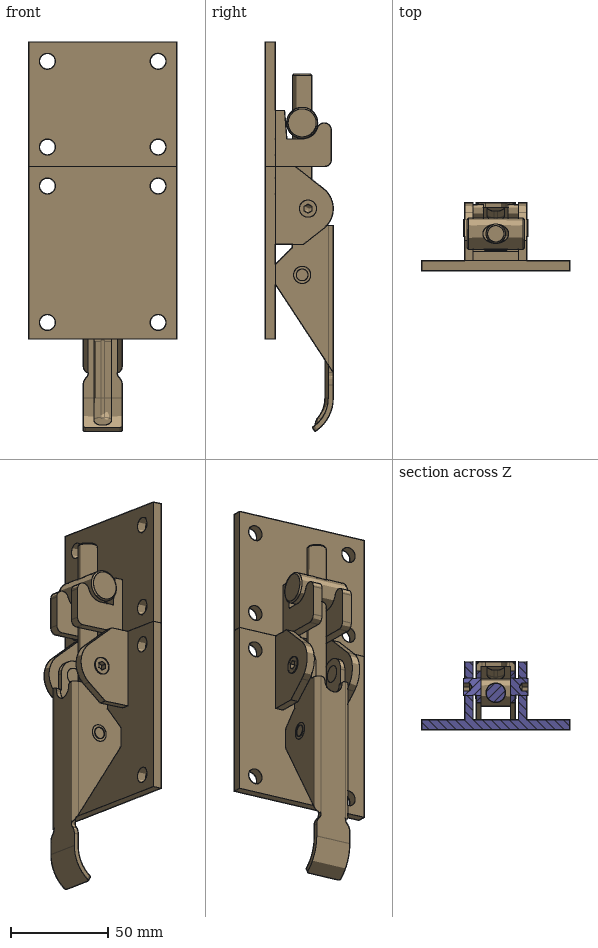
import cadquery as cq
import math


OVERALL_HEIGHT = 200.0

PLATE_WIDTH = 76.0
PLATE_THICKNESS = 5.2
KEEPER_PLATE_HEIGHT = 64.0
BASE_PLATE_HEIGHT = 88.5
HOLE_DIAMETER = 8.0
HOLE_SPACING_X = 56.8
HOLE_INSET = 10.0
BASE_LOWER_HOLE_Z = -80.0

ROD_Y = 19.0
ROD_RADIUS = 5.0
ROD_TOP_Z = 47.5
ROD_CHAMFER = 0.8
BAR_Z = 22.5
BAR_RADIUS = 8.0
BAR_LENGTH = 29.5
BAR_CHAMFER = 0.8
BAR_SINK_RADIUS = 6.5
TRUNNION_Z = -55.5
TRUNNION_RADIUS = 4.5
TRUNNION_BARREL_RADIUS = 7.0
TRUNNION_TIP_RADIUS = 3.0
TRUNNION_TIP_LENGTH = 0.5

HOOK_WIDTH = 23.2
HOOK_OUTER_Y = 34.0
HOOK_CORNER_RADIUS = 3.5
SADDLE_CLEARANCE = 0.2
SADDLE_RADIUS = BAR_RADIUS + SADDLE_CLEARANCE
BACK_WALL_TOP_Z = 28.8
BACK_WALL_TOP_Y = 10.0
BACK_WALL_FOOT_Y = 11.2
ROD_SLOT_WIDTH = 12.5
ROD_SLOT_FLOOR_Y = 10.2
ROD_SLOT_CORNER_RADIUS = 2.0

LUG_SPAN = 32.0
LUG_GAP = HOOK_WIDTH
LUG_THICKNESS = (LUG_SPAN - LUG_GAP) / 2
LUG_RADIUS = 13.0
LUG_BOTTOM_Z = -40.0
LUG_SLOPE = 38.0
PIVOT_Y = 22.0
PIVOT_Z = -21.5
SCREW_RADIUS = 4.5
SCREW_PROTRUSION = 0.5
SOCKET_FLATS = 4.0
SOCKET_DEPTH = 3.0
SOCKET_POINT_ANGLE = 118.0

LEVER_WIDTH = 20.2
SHEET = 2.5
LEVER_OUTER_Y = 35.0
LEVER_INNER_Y = LEVER_OUTER_Y - SHEET
LEVER_TOP_Z = -30.2
BEND_RADIUS = SHEET
PIVOT_EAR_RADIUS = 8.2
FLANGE_SHOULDER_Z = -50.2
FLANGE_HEEL_Z = -60.5
FLANGE_END_Z = -105.8
RELIEF_MIDDLE_Z = -108.5
RELIEF_END_Z = -112.2
ROD_NOTCH_RADIUS = 5.2
ROD_NOTCH_FILLET = 1.8
CURL_START_Z = -118.8
CURL_RADIUS = 20.5
CURL_BOTTOM_Z = KEEPER_PLATE_HEIGHT - OVERALL_HEIGHT
CURL_CORNER_RADIUS = 1.2
CURL_CENTER_Y = LEVER_OUTER_Y - CURL_RADIUS
CURL_ANGLE = math.degrees(math.asin((CURL_START_Z - CURL_BOTTOM_Z) / CURL_RADIUS))

RIB_WIDTH = 9.2
RIB_HEIGHT = 1.8
RIB_FLAT_WIDTH = 1.8
RIB_TOP_Z = -89.8
RIB_CURL_ANGLE = 38.0
RIB_ROOT = 0.8

FLANGE_INNER_X = LEVER_WIDTH / 2 - SHEET


def x_cylinder(radius, x_start, x_end, y, z):
    """Cylinder along X between two X positions."""
    plane = cq.Workplane("YZ", origin=(x_start, y, z))
    return plane.circle(radius).extrude(x_end - x_start)


def z_cylinder(radius, z_start, z_end):
    """Cylinder along Z on the rod axis."""
    plane = cq.Workplane("XY", origin=(0, ROD_Y, z_start))
    return plane.circle(radius).extrude(z_end - z_start)


def mounting_plate(z_low, z_high, hole_heights):
    """Flat plate with a row of two holes at each given height."""
    plate = cq.Workplane("XY").box(
        PLATE_WIDTH, PLATE_THICKNESS, z_high - z_low, centered=(True, False, False)
    )
    plate = plate.translate((0, 0, z_low))
    centers = [(side * HOLE_SPACING_X / 2, z) for side in (-1, 1) for z in hole_heights]
    holes = cq.Workplane("XZ").pushPoints(centers).circle(HOLE_DIAMETER / 2).extrude(-PLATE_THICKNESS)
    return plate.cut(holes)


def make_keeper():
    """Upper plate with the slotted hook that catches the cross bar."""
    plate = mounting_plate(0, KEEPER_PLATE_HEIGHT, (HOLE_INSET, KEEPER_PLATE_HEIGHT - HOLE_INSET))

    reach = HOOK_OUTER_Y - ROD_Y
    half_sum = reach + SADDLE_RADIUS
    tip_radius = half_sum - math.sqrt(half_sum**2 - reach**2 + SADDLE_RADIUS**2)
    tip_y = HOOK_OUTER_Y - tip_radius
    tip_z = BAR_Z - tip_radius
    tip_angle = math.atan2(tip_z - BAR_Z, tip_y - ROD_Y)
    saddle_middle_angle = (tip_angle - math.pi / 2) / 2

    def on_saddle(angle):
        return (ROD_Y + SADDLE_RADIUS * math.cos(angle), BAR_Z + SADDLE_RADIUS * math.sin(angle))

    saddle_floor_z = BAR_Z - SADDLE_RADIUS
    hook = (
        cq.Workplane("YZ", origin=(-HOOK_WIDTH / 2, 0, 0))
        .moveTo(PLATE_THICKNESS, 0)
        .lineTo(HOOK_OUTER_Y - HOOK_CORNER_RADIUS, 0)
        .radiusArc((HOOK_OUTER_Y, HOOK_CORNER_RADIUS), -HOOK_CORNER_RADIUS)
        .lineTo(HOOK_OUTER_Y, tip_z)
        .threePointArc((tip_y, BAR_Z), on_saddle(tip_angle))
        .threePointArc(on_saddle(saddle_middle_angle), (ROD_Y, saddle_floor_z))
        .lineTo(BACK_WALL_FOOT_Y, saddle_floor_z)
        .lineTo(BACK_WALL_TOP_Y, BACK_WALL_TOP_Z)
        .lineTo(PLATE_THICKNESS, BACK_WALL_TOP_Z)
        .close()
        .extrude(HOOK_WIDTH)
    )
    rod_slot = (
        cq.Workplane("XY")
        .box(ROD_SLOT_WIDTH, HOOK_OUTER_Y - ROD_SLOT_FLOOR_Y, BAR_Z, centered=(True, False, False))
        .translate((0, ROD_SLOT_FLOOR_Y, 0))
        .edges("|Z and <Y")
        .fillet(ROD_SLOT_CORNER_RADIUS)
    )
    return plate.union(hook.cut(rod_slot))


def make_base():
    """Lower plate with two lugs that carry the lever pivot."""
    base = mounting_plate(-BASE_PLATE_HEIGHT, 0, (-HOLE_INSET, BASE_LOWER_HOLE_Z))

    slope = math.radians(LUG_SLOPE)
    tangent_y = PIVOT_Y + LUG_RADIUS * math.sin(slope)
    tangent_rise = LUG_RADIUS * math.cos(slope)
    upper_z = PIVOT_Z + tangent_rise
    lower_z = PIVOT_Z - tangent_rise
    for x_start in (-LUG_SPAN / 2, LUG_GAP / 2):
        lug = (
            cq.Workplane("YZ", origin=(x_start, 0, 0))
            .moveTo(PLATE_THICKNESS, 0)
            .lineTo(tangent_y + upper_z / math.tan(slope), 0)
            .lineTo(tangent_y, upper_z)
            .threePointArc((PIVOT_Y + LUG_RADIUS, PIVOT_Z), (tangent_y, lower_z))
            .lineTo(tangent_y - (lower_z - LUG_BOTTOM_Z) / math.tan(slope), LUG_BOTTOM_Z)
            .lineTo(PLATE_THICKNESS, LUG_BOTTOM_Z)
            .close()
            .extrude(LUG_THICKNESS)
        )
        base = base.union(lug)
    return base.cut(x_cylinder(SCREW_RADIUS, -LUG_SPAN / 2, LUG_SPAN / 2, PIVOT_Y, PIVOT_Z))


def make_pivot_screw(side):
    """Headless pivot screw through one lug and one lever flange, with a hexagon socket."""
    outer_x = LUG_SPAN / 2 + SCREW_PROTRUSION
    screw = x_cylinder(SCREW_RADIUS, -outer_x, -FLANGE_INNER_X, PIVOT_Y, PIVOT_Z)

    socket_radius = SOCKET_FLATS / math.sqrt(3)
    point_depth = socket_radius / math.tan(math.radians(SOCKET_POINT_ANGLE / 2))
    corners = [
        (socket_radius * math.sin(math.radians(angle)), socket_radius * math.cos(math.radians(angle)))
        for angle in range(0, 360, 60)
    ]
    prism = (
        cq.Workplane("YZ", origin=(-outer_x, PIVOT_Y, PIVOT_Z))
        .polyline(corners)
        .close()
        .extrude(SOCKET_DEPTH + point_depth)
    )
    drill = cq.Workplane("XY").polyline(
        [
            (0, 0),
            (0, socket_radius),
            (SOCKET_DEPTH, socket_radius),
            (SOCKET_DEPTH + point_depth, 0),
        ]
    )
    drill = drill.close().revolve(360, (0, 0, 0), (1, 0, 0)).translate((-outer_x, PIVOT_Y, PIVOT_Z))
    screw = screw.cut(prism.intersect(drill))
    return screw if side < 0 else screw.mirror("YZ")


def make_cross_bar():
    """Round bar resting in the hook, drilled and countersunk for the rod."""
    bar = x_cylinder(BAR_RADIUS, -BAR_LENGTH / 2, BAR_LENGTH / 2, ROD_Y, BAR_Z)
    bar = bar.faces("<X or >X").chamfer(BAR_CHAMFER)
    top_z = BAR_Z + BAR_RADIUS
    sink = cq.Workplane(
        cq.Solid.makeCone(
            BAR_SINK_RADIUS, 0, BAR_SINK_RADIUS, pnt=cq.Vector(0, ROD_Y, top_z), dir=cq.Vector(0, 0, -1)
        )
    )
    return bar.cut(z_cylinder(ROD_RADIUS, BAR_Z - BAR_RADIUS, top_z)).cut(sink)


def make_rod():
    """Draw rod from the trunnion axis up through the cross bar."""
    return z_cylinder(ROD_RADIUS, TRUNNION_Z, ROD_TOP_Z).faces(">Z").chamfer(ROD_CHAMFER)


def make_trunnion():
    """Swivel between the lever flanges that holds the lower end of the rod."""
    journal_x = LEVER_WIDTH / 2
    tip_x = journal_x + TRUNNION_TIP_LENGTH
    barrel = x_cylinder(TRUNNION_BARREL_RADIUS, -FLANGE_INNER_X, FLANGE_INNER_X, ROD_Y, TRUNNION_Z)
    journals = x_cylinder(TRUNNION_RADIUS, -journal_x, journal_x, ROD_Y, TRUNNION_Z)
    tips = x_cylinder(TRUNNION_TIP_RADIUS, -tip_x, tip_x, ROD_Y, TRUNNION_Z)
    rod_hole = z_cylinder(ROD_RADIUS, TRUNNION_Z, TRUNNION_Z + TRUNNION_BARREL_RADIUS)
    return barrel.union(journals).union(tips).cut(rod_hole)


def lever_channel():
    """Bent-up part of the lever: two side flanges joined by the web."""
    ear_back_y = PIVOT_Y - PIVOT_EAR_RADIUS
    ear_front_y = PIVOT_Y + PIVOT_EAR_RADIUS
    shoulder_z = FLANGE_SHOULDER_Z + ear_back_y - PLATE_THICKNESS
    channel = (
        cq.Workplane("YZ", origin=(-LEVER_WIDTH / 2, 0, 0))
        .moveTo(LEVER_OUTER_Y, LEVER_TOP_Z)
        .lineTo(ear_front_y, LEVER_TOP_Z)
        .lineTo(ear_front_y, PIVOT_Z)
        .threePointArc((PIVOT_Y, PIVOT_Z + PIVOT_EAR_RADIUS), (ear_back_y, PIVOT_Z))
        .lineTo(ear_back_y, shoulder_z)
        .lineTo(PLATE_THICKNESS, FLANGE_SHOULDER_Z)
        .lineTo(PLATE_THICKNESS, FLANGE_HEEL_Z)
        .lineTo(LEVER_OUTER_Y, FLANGE_END_Z)
        .close()
        .extrude(LEVER_WIDTH)
        .edges("|Z and >Y")
        .fillet(BEND_RADIUS)
    )
    inside = cq.Workplane("XY").box(
        2 * FLANGE_INNER_X, LEVER_INNER_Y, -FLANGE_END_Z, centered=(True, False, False)
    )
    return channel.cut(inside.translate((0, 0, FLANGE_END_Z)))


def relief_arc_middle(x_start, x_end):
    """Middle point of the outer relief arc, which runs into the strap edge tangentially."""
    width = x_end - x_start
    height = RELIEF_MIDDLE_Z - RELIEF_END_Z
    radius = (width**2 + height**2) / (2 * width)
    half_angle = math.atan2(width, height)
    return (
        x_end - radius * (1 - math.cos(half_angle)),
        RELIEF_END_Z + radius * math.sin(half_angle),
    )


def lever_strap():
    """Flat strap from the bend relief down to the curl."""
    half_width = LEVER_WIDTH / 2
    narrow = half_width - BEND_RADIUS
    middle = half_width - BEND_RADIUS / 2
    half = (
        cq.Workplane("XZ", origin=(0, LEVER_INNER_Y, 0))
        .moveTo(0, LEVER_TOP_Z)
        .lineTo(narrow, LEVER_TOP_Z)
        .lineTo(narrow, FLANGE_END_Z)
        .tangentArcPoint((middle, RELIEF_MIDDLE_Z), relative=False)
        .threePointArc(relief_arc_middle(middle, half_width), (half_width, RELIEF_END_Z))
        .lineTo(half_width, CURL_START_Z)
        .lineTo(0, CURL_START_Z)
        .close()
        .extrude(-SHEET)
    )
    return half.union(half.mirror("YZ"))


def on_curl(radius, angle):
    """(Y, Z) point at an angle in degrees down the curl from its start."""
    turn = math.radians(angle)
    return (CURL_CENTER_Y + radius * math.cos(turn), CURL_START_Z - radius * math.sin(turn))


def lever_curl():
    """Curled finger grip at the lower end of the lever, with rounded tip corners."""
    inner_radius = CURL_RADIUS - SHEET
    curl = (
        cq.Workplane("YZ", origin=(-LEVER_WIDTH / 2, 0, 0))
        .moveTo(LEVER_OUTER_Y, CURL_START_Z)
        .threePointArc(on_curl(CURL_RADIUS, CURL_ANGLE / 2), on_curl(CURL_RADIUS, CURL_ANGLE))
        .lineTo(*on_curl(inner_radius, CURL_ANGLE))
        .threePointArc(on_curl(inner_radius, CURL_ANGLE / 2), (LEVER_INNER_Y, CURL_START_Z))
        .close()
        .extrude(LEVER_WIDTH)
    )
    tip_middle = on_curl(CURL_RADIUS - SHEET / 2, CURL_ANGLE)
    for x in (-LEVER_WIDTH / 2, LEVER_WIDTH / 2):
        corner = cq.selectors.NearestToPointSelector((x, *tip_middle))
        curl = curl.edges(corner).fillet(CURL_CORNER_RADIUS)
    return curl


def rib_outline(plane, half):
    """Rib section (half of it or all of it) standing on the local x axis, sunk by RIB_ROOT."""
    side = RIB_WIDTH / 2
    flat = RIB_FLAT_WIDTH / 2
    run = side - flat
    radius = (run**2 + RIB_HEIGHT**2) / (2 * RIB_HEIGHT)
    outline = plane.moveTo(0 if half else -side, -RIB_ROOT).lineTo(side, -RIB_ROOT).lineTo(side, 0)
    outline = outline.radiusArc((flat, RIB_HEIGHT), -radius)
    if half:
        return outline.lineTo(0, RIB_HEIGHT).close()
    return outline.lineTo(-flat, RIB_HEIGHT).radiusArc((-side, 0), -radius).close()


def rib_end():
    """Rounded rib end: the half section turned about the lever normal at the rib top."""
    top = cq.Plane((0, LEVER_INNER_Y, RIB_TOP_Z), xDir=(1, 0, 0), normal=(0, 0, -1))
    return rib_outline(cq.Workplane(top), half=True).revolve(360, (0, 0, 0), (0, 1, 0))


def lever_rib():
    """Raised rib along the strap and into the curl, with a rounded end at each limit."""
    start = cq.Plane((0, LEVER_INNER_Y, CURL_START_Z), xDir=(-1, 0, 0), normal=(0, 0, 1))
    straight = rib_outline(cq.Workplane(start), half=False).extrude(RIB_TOP_Z - CURL_START_Z)
    inner_radius = CURL_RADIUS - SHEET
    curved = rib_outline(cq.Workplane(start), half=False).revolve(
        RIB_CURL_ANGLE, (-2, inner_radius, 0), (2, inner_radius, 0)
    )
    top_end = rib_end()
    bottom_end = top_end.translate((0, 0, CURL_START_Z - RIB_TOP_Z)).rotate(
        (0, CURL_CENTER_Y, CURL_START_Z), (1, CURL_CENTER_Y, CURL_START_Z), -RIB_CURL_ANGLE
    )
    return straight.union(curved).union(top_end).union(bottom_end)


def rod_notch():
    """Round-bottomed notch in the top edge of the web, with rounded mouth corners."""
    r = ROD_NOTCH_RADIUS
    mouth = r + ROD_NOTCH_FILLET
    shoulder_z = LEVER_TOP_Z - ROD_NOTCH_FILLET
    return (
        cq.Workplane("XZ", origin=(0, LEVER_INNER_Y, 0))
        .moveTo(-mouth, LEVER_TOP_Z)
        .radiusArc((-r, shoulder_z), ROD_NOTCH_FILLET)
        .threePointArc((0, shoulder_z - r), (r, shoulder_z))
        .radiusArc((mouth, LEVER_TOP_Z), ROD_NOTCH_FILLET)
        .close()
        .extrude(-SHEET)
    )


def make_lever():
    """Sheet-metal lever with flanges, curled grip and stiffening rib."""
    half_width = LEVER_WIDTH / 2
    lever = lever_channel().union(lever_strap()).union(lever_curl()).union(lever_rib())
    lever = lever.cut(rod_notch())
    lever = lever.cut(x_cylinder(SCREW_RADIUS, -half_width, half_width, PIVOT_Y, PIVOT_Z))
    return lever.cut(x_cylinder(TRUNNION_RADIUS, -half_width, half_width, ROD_Y, TRUNNION_Z))


keeper = make_keeper()
base = make_base()
lever = make_lever()
cross_bar = make_cross_bar()
rod = make_rod()
trunnion = make_trunnion()
pivot_screws = [make_pivot_screw(side) for side in (-1, 1)]

result = cq.Compound.makeCompound(
    [
        keeper.val(),
        base.val(),
        lever.val(),
        cross_bar.val(),
        rod.val(),
        trunnion.val(),
        *[screw.val() for screw in pivot_screws],
    ]
)